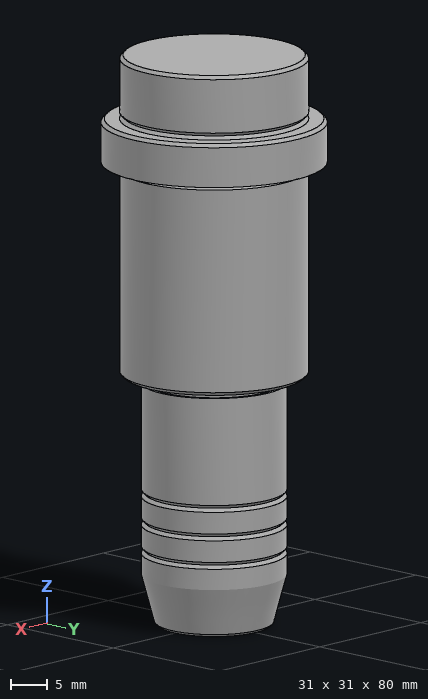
import cadquery as cq
import math

total_height = 80.0
body_radius = 13.0
flange_radius = 15.5
stem_radius = 10.0
neck_radius = 9.5
edge_chamfer = 0.5
groove_depth = 0.5

flange_top = 71.0
flange_bottom = 65.0
body_bottom = 35.0

stem_top = 34.0
stem_groove_count = 3
stem_groove_pitch = 4.0
top_stem_groove_height = 18.5
taper_height = 7.0
taper_angle = 15.0
nose_chamfer = 0.4


def cylinder(radius, bottom, top):
    """Solid cylinder on the Z axis between two heights."""
    return cq.Workplane("XY").workplane(offset=bottom).circle(radius).extrude(top - bottom)


def make_flange():
    return cylinder(flange_radius, flange_bottom, flange_top).faces(">Z").chamfer(edge_chamfer)


def make_body():
    """Large cylinder that runs through the flange to the top face."""
    return cylinder(body_radius, body_bottom, total_height).faces("<Z or >Z").chamfer(edge_chamfer)


def make_stem():
    """Cylindrical stem with a tapered, chamfered nose."""
    nose_radius = stem_radius - (taper_height - nose_chamfer) * math.tan(math.radians(taper_angle))
    return (
        cq.Workplane("XZ")
        .moveTo(0, 0)
        .lineTo(nose_radius - nose_chamfer, 0)
        .lineTo(nose_radius, nose_chamfer)
        .lineTo(stem_radius, taper_height)
        .lineTo(stem_radius, stem_top)
        .lineTo(0, stem_top)
        .close()
        .revolve(360, (0, 0, 0), (0, 1, 0))
    )


def make_ring_groove(surface_radius, height):
    """Ring that cuts a V groove, centred at a height, into a cylindrical surface."""
    return (
        cq.Workplane("XZ")
        .moveTo(surface_radius - groove_depth, height)
        .lineTo(surface_radius + groove_depth, height + 2 * groove_depth)
        .lineTo(surface_radius + groove_depth, height - 2 * groove_depth)
        .close()
        .revolve(360, (0, 0, 0), (0, 1, 0))
    )


result = make_stem().union(cylinder(neck_radius, stem_top, body_bottom)).union(make_body())
for index in range(stem_groove_count):
    groove_height = top_stem_groove_height - index * stem_groove_pitch
    result = result.cut(make_ring_groove(stem_radius, groove_height))
for groove_height in (flange_bottom - groove_depth, flange_top + groove_depth):
    result = result.cut(make_ring_groove(body_radius, groove_height))
result = result.union(make_flange())